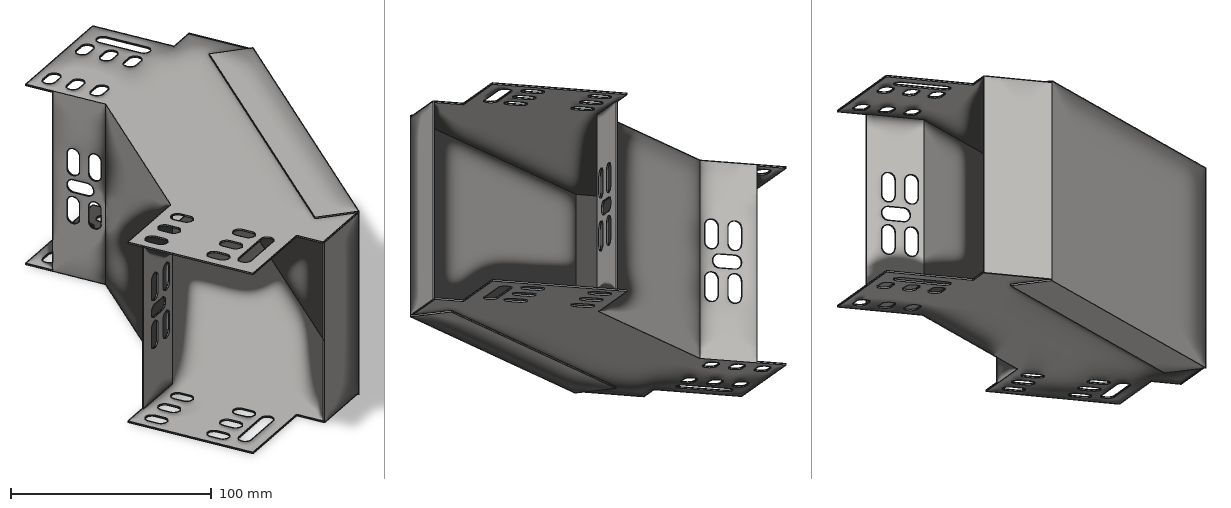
import cadquery as cq
import math


side = 211.2
height = 103.3
sheet = 0.8

arm_inner_edge = 124.5
arm_outer_edge = 195.3
inner_bend = 45.2
tab_start = 46.0
wall_start = 15.2
tray_height = height - 2 * sheet

outer_bend = 82.1
lip_width = 22.8

plate_slot_width = 7.0
long_slot_length = 30.0
long_slot_center = (23.0, 184.8)
short_slot_length = 12.0
short_slot_first = 8.5
short_slot_pitch = 13.5
short_slot_columns = 3
short_slot_rows = (136.2, 171.3)

wall_slot_width = 7.2
wall_slot_length = 15.2
wall_slot_first = 26.8
wall_slot_pitch = 12.2
wall_slot_rise = 13.5

bend_angle = math.radians(45)
bend_shift = sheet * math.tan(bend_angle / 2)


def with_mirror(points):
    """Close a half outline with its mirror image across x = y."""
    return points + [(y, x) for x, y in reversed(points)]


def prism(points, bottom, thickness):
    return cq.Workplane("XY").workplane(offset=bottom).polyline(points).close().extrude(thickness)


def mirrored_arm(shape):
    """The same shape on the other arm: a half turn about the line x = y at z = 0."""
    return shape.rotate((0, 0, 0), (1, 1, 0), 180)


def plate_slots():
    """Slots through both plates of the arm that opens toward -X."""
    long_slot = (
        cq.Workplane("XY")
        .center(*long_slot_center)
        .slot2D(long_slot_length, plate_slot_width)
        .extrude(height, both=True)
    )
    short_centers = [
        (short_slot_first + column * short_slot_pitch, row)
        for column in range(short_slot_columns)
        for row in short_slot_rows
    ]
    short_slots = (
        cq.Workplane("XY")
        .pushPoints(short_centers)
        .slot2D(short_slot_length, plate_slot_width, 90)
        .extrude(height, both=True)
    )
    return long_slot.union(short_slots)


def wall_slots():
    """Four upright slots and a level one between them, through the arm's inner wall."""
    wall_plane = cq.Workplane("XZ", origin=(0, arm_inner_edge, 0))
    upright_centers = [
        (wall_slot_first + column * wall_slot_pitch, row * wall_slot_rise)
        for column in (0, 1)
        for row in (-1, 1)
    ]
    upright_slots = (
        wall_plane.pushPoints(upright_centers)
        .slot2D(wall_slot_length, wall_slot_width, 90)
        .extrude(2 * sheet, both=True)
    )
    level_center = wall_slot_first + (wall_slot_length - wall_slot_width) / 2
    level_slot = (
        wall_plane.center(level_center, 0)
        .slot2D(wall_slot_length, wall_slot_width)
        .extrude(2 * sheet, both=True)
    )
    return upright_slots.union(level_slot)


def make_tray():
    plate_outline = with_mirror([
        (inner_bend, arm_inner_edge),
        (0, arm_inner_edge),
        (0, arm_outer_edge),
        (tab_start, arm_outer_edge),
        (tab_start, side - sheet),
        (outer_bend - bend_shift, side - sheet),
    ])
    inner_wall_outline = with_mirror([
        (inner_bend, arm_inner_edge),
        (wall_start, arm_inner_edge),
        (wall_start, arm_inner_edge + sheet),
        (inner_bend + bend_shift, arm_inner_edge + sheet),
    ])
    tray = prism(inner_wall_outline, -tray_height / 2, tray_height)
    for bottom in (-tray_height / 2, tray_height / 2 - sheet):
        tray = tray.union(prism(plate_outline, bottom, sheet))
    for slots in (plate_slots(), wall_slots()):
        tray = tray.cut(slots).cut(mirrored_arm(slots))
    return tray


def make_cover():
    wall_outline = with_mirror([
        (outer_bend - bend_shift, side - sheet),
        (tab_start, side - sheet),
        (tab_start, side),
        (outer_bend, side),
    ])
    lip_run = lip_width * math.cos(bend_angle)
    lip_outline = with_mirror([
        (outer_bend - lip_run, side - lip_run),
        (outer_bend, side),
    ])
    cover = prism(wall_outline, -tray_height / 2, tray_height)
    for bottom in (-height / 2, tray_height / 2):
        cover = cover.union(prism(lip_outline, bottom, sheet))
    return cover


tray = make_tray()
cover = make_cover()
result = cq.Compound.makeCompound([tray.val(), cover.val()])